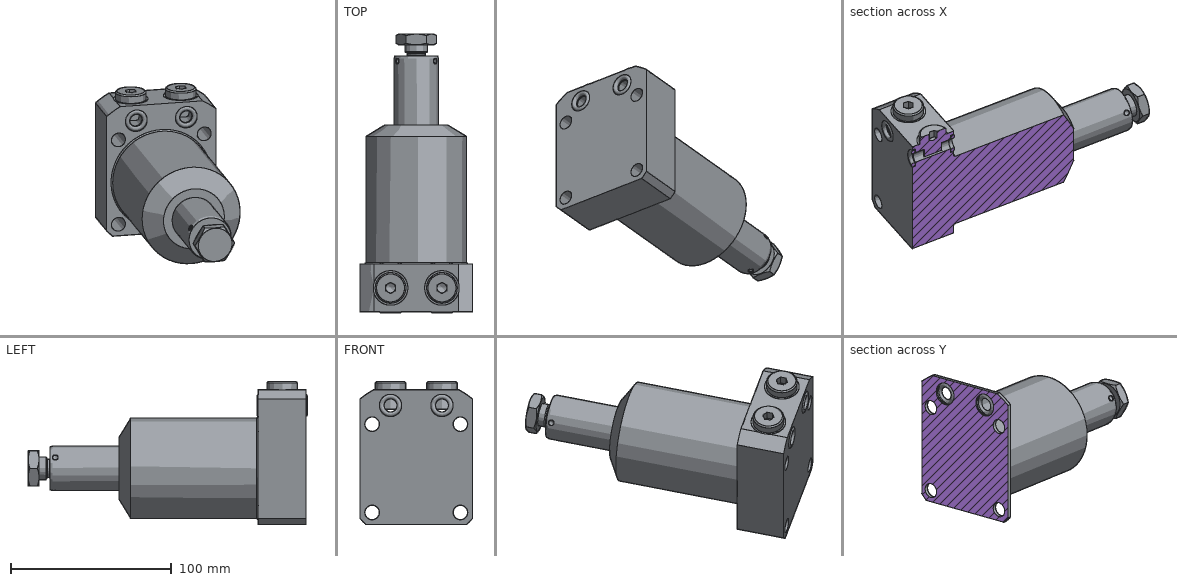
import cadquery as cq
import math


drill_point_angle = 120

block_width = 70.0
block_depth = 29.9
block_top = 49.0
block_half_width = block_width / 2
block_bottom = -block_half_width
upper_corner_radius = 55.6
lower_corner_radius = 46.9
mount_hole_offset = 27.5
mount_hole_diameter = 8.9

barrel_diameter = 62.7
barrel_radius = barrel_diameter / 2
barrel_foot_flare = 0.9
barrel_shoulder_y = 109.1
barrel_end_y = 116.4
barrel_end_radius = 19.5

port_offset = 16.0
port_positions = (-port_offset, port_offset)
port_height = 39.1
port_radius = 4.0
ring_section_radius = 1.48
ring_protrusion = 0.78
ring_major_radius = port_radius + ring_section_radius
ring_seat_radius = ring_major_radius + ring_section_radius
ring_seat_depth = 2 * ring_section_radius - ring_protrusion
ring_center_depth = ring_section_radius - ring_protrusion

plug_y = block_depth / 2
plug_head_diameter = 19.1
plug_head_chamfer = 0.9
plug_shank_diameter = 13.2
plug_top = 54.0
plug_bottom = 36.7
spotface_diameter = 21.5
spotface_depth = 0.2
plug_seat = block_top - spotface_depth
socket_across_flats = 6.0
socket_depth = 5.2

rod_radius = 13.9
rod_end_y = 159.3
rod_chamfer_length = 1.7
rod_chamfer_width = 0.5
spanner_hole_diameter = 3.5
spanner_hole_depth = 0.7
spanner_hole_y = 156.0
spanner_hole_angles = (30, 150, 270)

head_across_flats = 22.0
head_thickness = 7.0
overall_length = 173.8
head_end_y = overall_length - ring_protrusion
head_base_y = head_end_y - head_thickness
head_face_radius = 10.8
head_chamfer_angle = 30
collar_radius = 7.1
collar_end_y = 161.2
collar_chamfer = 0.7
neck_radius = 5.7
neck_end_radius = 6.0
neck_taper = neck_end_radius - neck_radius


def hexagon_diameter(across_flats):
    """Corner-to-corner size of a hexagon."""
    return across_flats / math.cos(math.radians(30))


def cylinder_y(radius, start_y, end_y, x=0, z=0):
    """Cylinder along Y between two Y positions."""
    disc = cq.Workplane("XZ", origin=(x, start_y, z)).circle(radius)
    return disc.extrude(start_y - end_y)


def revolve_y(profile):
    """Turn a closed (radius, y) outline about the Y axis."""
    return cq.Workplane("XY").polyline(profile).close().revolve(360, (0, 0, 0), (0, 1, 0))


def drill_point(radius, base, direction):
    """Cone left by a drill at the bottom of a hole."""
    length = radius / math.tan(math.radians(drill_point_angle / 2))
    return cq.Workplane(cq.Solid.makeCone(radius, 0, length, base, direction))


def make_block():
    """Rectangular block whose four long edges are turned about the barrel axis."""
    side = block_half_width
    upper_side_z = math.sqrt(upper_corner_radius**2 - side**2)
    upper_top_x = math.sqrt(upper_corner_radius**2 - block_top**2)
    lower_side_z = -math.sqrt(lower_corner_radius**2 - side**2)
    lower_bottom_x = math.sqrt(lower_corner_radius**2 - block_bottom**2)

    def arc_middle(radius, start, end):
        angle = (math.atan2(start[1], start[0]) + math.atan2(end[1], end[0])) / 2
        return radius * math.cos(angle), radius * math.sin(angle)

    lower_middle = arc_middle(lower_corner_radius, (lower_bottom_x, block_bottom), (side, lower_side_z))
    upper_middle = arc_middle(upper_corner_radius, (side, upper_side_z), (upper_top_x, block_top))
    half = (
        cq.Workplane("XZ")
        .moveTo(0, block_bottom)
        .lineTo(lower_bottom_x, block_bottom)
        .threePointArc(lower_middle, (side, lower_side_z))
        .lineTo(side, upper_side_z)
        .threePointArc(upper_middle, (upper_top_x, block_top))
        .lineTo(0, block_top)
        .mirrorY()
    )
    return half.extrude(-block_depth)


def make_barrel():
    """Barrel with a flared foot on the block and a conical shoulder."""
    return revolve_y([
        (0, block_depth),
        (barrel_radius + barrel_foot_flare, block_depth),
        (barrel_radius, block_depth + barrel_foot_flare),
        (barrel_radius, barrel_shoulder_y),
        (barrel_end_radius, barrel_end_y),
        (0, barrel_end_y),
    ])


def cut_mount_holes(housing):
    """Four holes through the block, on a square about the axis."""
    for x in (-mount_hole_offset, mount_hole_offset):
        for z in (-mount_hole_offset, mount_hole_offset):
            housing = housing.cut(cylinder_y(mount_hole_diameter / 2, 0, block_depth, x, z))
    return housing


def cut_port(housing, x):
    """Port through the block with an O-ring seat at each mouth."""
    housing = housing.cut(cylinder_y(port_radius, 0, block_depth, x, port_height))
    for face_y, floor_y in ((0, ring_seat_depth), (block_depth, block_depth - ring_seat_depth)):
        housing = housing.cut(cylinder_y(ring_seat_radius, face_y, floor_y, x, port_height))
    return housing


def cut_spotface(housing, x):
    """Shallow round seat around a screw plug."""
    seat = cq.Workplane("XY", origin=(x, plug_y, plug_seat)).circle(spotface_diameter / 2)
    return housing.cut(seat.extrude(spotface_depth))


def make_plug_blank(x):
    """Screw plug with a chamfered head and a plain shank, before the socket is cut."""
    head = (
        cq.Workplane("XY", origin=(x, plug_y, plug_seat))
        .circle(plug_head_diameter / 2)
        .extrude(plug_top - plug_seat)
        .faces(">Z")
        .chamfer(plug_head_chamfer)
    )
    shank = (
        cq.Workplane("XY", origin=(x, plug_y, plug_bottom))
        .circle(plug_shank_diameter / 2)
        .extrude(plug_seat - plug_bottom)
    )
    return head.union(shank)


def make_plug_socket(x):
    """Hexagon socket ending in a drill point, as the shape to cut away."""
    socket = (
        cq.Workplane("XY", origin=(x, plug_y, plug_top))
        .transformed(rotate=(0, 0, 90))
        .polygon(6, hexagon_diameter(socket_across_flats))
        .extrude(-socket_depth)
    )
    socket_floor = cq.Vector(x, plug_y, plug_top - socket_depth)
    point = drill_point(socket_across_flats / 2, socket_floor, cq.Vector(0, 0, -1))
    return socket.union(point)


def make_rod():
    """Piston rod with a chamfered end and radial spanner holes."""
    rod = revolve_y([
        (0, barrel_end_y),
        (rod_radius, barrel_end_y),
        (rod_radius, rod_end_y - rod_chamfer_length),
        (rod_radius - rod_chamfer_width, rod_end_y),
        (0, rod_end_y),
    ])
    for angle in spanner_hole_angles:
        outward = cq.Vector(math.cos(math.radians(angle)), 0, math.sin(math.radians(angle)))
        hole_floor = outward * (rod_radius - spanner_hole_depth) + cq.Vector(0, spanner_hole_y, 0)
        hole = cq.Solid.makeCylinder(spanner_hole_diameter / 2, rod_radius, hole_floor, outward)
        rod = rod.cut(cq.Workplane(hole))
        rod = rod.cut(drill_point(spanner_hole_diameter / 2, hole_floor, outward * -1))
    return rod


def make_bolt():
    """Hexagon bolt with a chamfered head, a collar and a neck relieved between two tapers."""
    corner_diameter = hexagon_diameter(head_across_flats)
    corner_radius = corner_diameter / 2
    chamfer_length = (corner_radius - head_face_radius) * math.tan(math.radians(head_chamfer_angle))
    head = cq.Workplane("XZ", origin=(0, head_base_y, 0)).polygon(6, corner_diameter).extrude(-head_thickness)
    chamfer_envelope = revolve_y([
        (0, head_base_y),
        (head_face_radius, head_base_y),
        (corner_radius, head_base_y + chamfer_length),
        (corner_radius, head_end_y - chamfer_length),
        (head_face_radius, head_end_y),
        (0, head_end_y),
    ])
    stem = revolve_y([
        (0, rod_end_y),
        (neck_end_radius, rod_end_y),
        (neck_radius, rod_end_y + neck_taper),
        (neck_radius, collar_end_y - neck_taper),
        (neck_end_radius, collar_end_y),
        (collar_radius - collar_chamfer, collar_end_y),
        (collar_radius, collar_end_y + collar_chamfer),
        (collar_radius, head_base_y),
        (0, head_base_y),
    ])
    return head.intersect(chamfer_envelope).union(stem)


def make_housing():
    """Block, barrel, screw plugs, rod and bolt as one solid."""
    housing = make_block().union(make_barrel()).union(make_rod()).union(make_bolt())
    housing = cut_mount_holes(housing)
    for x in port_positions:
        housing = cut_port(housing, x)
        housing = cut_spotface(housing, x)
        housing = housing.union(make_plug_blank(x)).cut(make_plug_socket(x))
    return housing


def make_ring(x, y):
    """O-ring around the axis of a port."""
    center = cq.Vector(x, y, port_height)
    return cq.Solid.makeTorus(ring_major_radius, ring_section_radius, center, cq.Vector(0, 1, 0))


housing = make_housing()
rings = []
for x in port_positions:
    for y in (ring_center_depth, block_depth - ring_center_depth):
        rings.append(make_ring(x, y))

result = cq.Compound.makeCompound([housing.solids().val(), *rings])